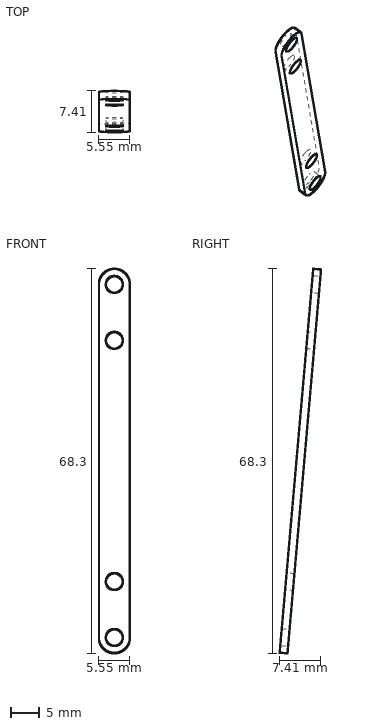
import cadquery as cq
import math

overall_height = 68.35
lean_angle = 5.0

width = 5.55
thickness = 1.45
hole_diameter = 3.0
hole_pitch = 10.0

lean = math.radians(lean_angle)
length = (overall_height - thickness * math.sin(lean)) / math.cos(lean)

end_hole_offset = (length - width) / 2
inner_hole_offset = end_hole_offset - hole_pitch
hole_centers = [
    (0, side * offset)
    for side in (-1, 1)
    for offset in (inner_hole_offset, end_hole_offset)
]

back_face = cq.Workplane("XZ").workplane(offset=-thickness / 2)

link = back_face.slot2D(length, width, 90).extrude(thickness)

holes = back_face.pushPoints(hole_centers).circle(hole_diameter / 2).extrude(thickness)

result = link.cut(holes).rotate((0, 0, 0), (1, 0, 0), -lean_angle)